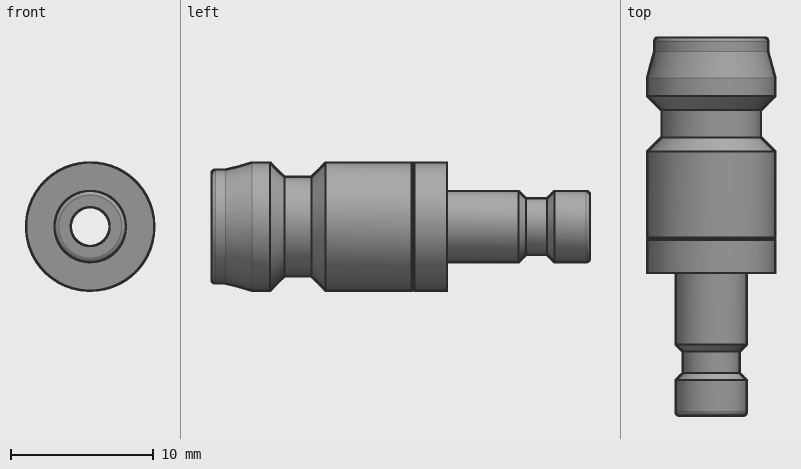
import cadquery as cq


stem_radius = 2.5
stem_length = 10.0
stem_groove_radius = 2.0
stem_groove_start = 2.5
stem_groove_end = 5.0
tip_round = 0.3

body_radius = 4.5
body_groove_radius = 3.5
body_groove_start = 18.5
body_groove_end = 22.4

total_length = 26.5
head_radius = 4.0
head_taper_start = 23.65
head_taper_end = 25.5
head_round = 0.3

v_groove_center = 12.4
v_groove_depth = 0.1

bore_diameter = 2.7


def groove_outline(profile, outer, inner, start, end):
    """Continue the profile along the axis through a groove with 45 degree sides."""
    bevel = outer - inner
    return (
        profile.lineTo(outer, start)
        .lineTo(inner, start + bevel)
        .lineTo(inner, end - bevel)
        .lineTo(outer, end)
    )


def make_body():
    """Revolve the stepped half outline, X as radius, around the Y axis."""
    profile = cq.Workplane("XY").lineTo(stem_radius, 0)
    profile = groove_outline(profile, stem_radius, stem_groove_radius, stem_groove_start, stem_groove_end)
    profile = profile.lineTo(stem_radius, stem_length).lineTo(body_radius, stem_length)
    profile = (
        profile.lineTo(body_radius, v_groove_center - v_groove_depth)
        .lineTo(body_radius - v_groove_depth, v_groove_center)
        .lineTo(body_radius, v_groove_center + v_groove_depth)
    )
    profile = groove_outline(profile, body_radius, body_groove_radius, body_groove_start, body_groove_end)
    profile = (
        profile.lineTo(body_radius, head_taper_start)
        .lineTo(head_radius, head_taper_end)
        .lineTo(head_radius, total_length)
        .lineTo(0, total_length)
        .close()
    )
    return profile.revolve(360, (0, 0), (0, 1))


result = make_body()
result = result.faces("<Y").edges().fillet(tip_round)
result = result.faces(">Y").edges().fillet(head_round)
result = result.faces("<Y").workplane(origin=(0, 0, 0)).hole(bore_diameter)